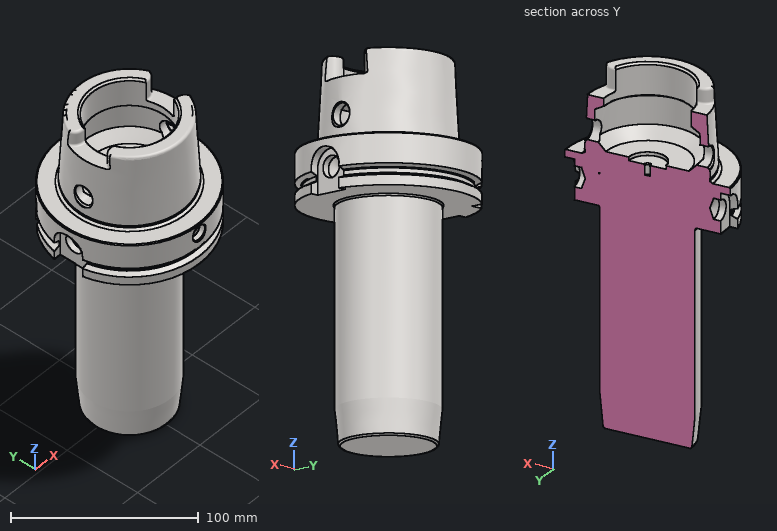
import cadquery as cq
import math

shank_height = 49.7
total_height = 210.0
bottom_z = shank_height - total_height

shank_top_radius = 35.5
shank_base_radius = 38.0
shank_taper_end_z = 2.7
shank_rim_fillet = 1.9
neck_radius = 37.5
neck_chamfer = 0.6
neck_flare_height = 1.0
neck_flare_radius = 39.5

flange_radius = 50.0
flange_height = 29.0
flange_edge_chamfer = 0.6
groove_center_z = -20.2
groove_floor_radius = 46.2
groove_floor_half_width = 1.7
groove_floor_fillet = 0.6
groove_mouth_half_width = 3.1

body_radius = 28.8
collar_width = 0.6
collar_height = 1.0
nose_length = 20.0
nose_end_radius = 26.9
nose_chamfer = 1.0

lip_radius = 26.2
lip_chamfer = 1.3
lip_bottom_z = 30.6
cavity_radius = 31.5
lip_angle = 60.0
cavity_floor_z = 4.2
cavity_floor_radius = 25.0
floor_recess_radius = 11.1
floor_recess_depth = 2.0
coolant_radius = 1.5
coolant_chamfer = 0.6
coolant_depth = 6.3

drive_slot_half_width = 9.9
drive_slot_corner_radius = 6.0
drive_slot_corner_x = 26.5
drive_slot_floor_fillet = 1.5
drive_slot_floor_left_z = 39.9
drive_slot_floor_right_z = 35.5

cross_hole_z = 15.0
cross_hole_radius = 6.0
cross_hole_chamfer = 1.0

keyway_radius = 10.0
keyway_center_z = -15.0
keyway_floor_x = 44.0
notch_floor_x = 31.7
notch_center_y = 41.4
keyway_hole_radius = 6.0
keyway_hole_depth = 4.2
keyway_hole_tip_angle = 20.0

chip_z = -7.0
chip_radius = 4.8
chip_chamfer = 0.6
chip_depth = 4.2
chip_center_hole_radius = 0.5
chip_center_hole_depth = 0.6

cutter_clearance = 2.0
selection_margin = 0.2


def turned_body():
    """Solid of revolution of the outside outline."""
    rim_fillet_mid = shank_rim_fillet * (1 - math.sqrt(0.5))
    nose_start_z = bottom_z + nose_length
    flange_bottom_z = -flange_height
    outline = (
        cq.Workplane("XZ")
        .moveTo(0, shank_height)
        .lineTo(shank_top_radius - shank_rim_fillet, shank_height)
        .threePointArc(
            (shank_top_radius - rim_fillet_mid, shank_height - rim_fillet_mid),
            (shank_top_radius, shank_height - shank_rim_fillet),
        )
        .lineTo(shank_base_radius, shank_taper_end_z)
        .lineTo(neck_radius, shank_taper_end_z - neck_chamfer)
        .lineTo(neck_radius, neck_flare_height)
        .lineTo(neck_flare_radius, 0)
        .lineTo(flange_radius - flange_edge_chamfer, 0)
        .lineTo(flange_radius, -flange_edge_chamfer)
        .lineTo(flange_radius, groove_center_z + groove_mouth_half_width)
        .lineTo(groove_floor_radius, groove_center_z + groove_floor_half_width)
        .lineTo(groove_floor_radius, groove_center_z - groove_floor_half_width)
        .lineTo(flange_radius, groove_center_z - groove_mouth_half_width)
        .lineTo(flange_radius, flange_bottom_z)
        .lineTo(body_radius + collar_width, flange_bottom_z)
        .lineTo(body_radius, flange_bottom_z - collar_height)
        .lineTo(body_radius, nose_start_z)
        .lineTo(nose_end_radius, bottom_z + nose_chamfer)
        .lineTo(nose_end_radius - nose_chamfer, bottom_z)
        .lineTo(0, bottom_z)
        .close()
    )
    turned = outline.revolve(360, (0, 0, 0), (0, 1, 0))
    pick_half_height = groove_mouth_half_width - selection_margin
    groove_edges = cq.selectors.BoxSelector(
        (-flange_radius, -flange_radius, groove_center_z - pick_half_height),
        (flange_radius, flange_radius, groove_center_z + pick_half_height),
    )
    return turned.edges(groove_edges).fillet(groove_floor_fillet)


def drive_slot(side, floor_z):
    """Slot cutter from the axis outward to side * X, with a floor fillet.

    It flares to round the wall ends, and a filleted plate above it rounds the rim edges.
    """
    half_width = drive_slot_half_width
    corner = drive_slot_corner_radius
    flare_half_width = half_width + corner
    corner_mid = corner * math.sqrt(0.5)
    corner_x = side * drive_slot_corner_x
    mid_x = side * (drive_slot_corner_x + corner_mid)
    flare_x = side * (drive_slot_corner_x + corner)
    outer_x = side * flange_radius
    cutter = (
        cq.Workplane("XY", origin=(0, 0, floor_z))
        .moveTo(0, -half_width)
        .lineTo(corner_x, -half_width)
        .threePointArc((mid_x, corner_mid - flare_half_width), (flare_x, -flare_half_width))
        .lineTo(outer_x, -flare_half_width)
        .lineTo(outer_x, flare_half_width)
        .lineTo(flare_x, flare_half_width)
        .threePointArc((mid_x, flare_half_width - corner_mid), (corner_x, half_width))
        .lineTo(0, half_width)
        .close()
        .extrude(shank_height - floor_z)
        .faces("<Z")
        .edges()
        .fillet(drive_slot_floor_fillet)
    )
    plate_half_width = flare_half_width + 2 * shank_rim_fillet
    plate = cq.Workplane("XY", origin=(outer_x / 2, 0, shank_height)).box(
        flange_radius, 2 * plate_half_width, shank_rim_fillet, centered=(True, True, False)
    )
    pick_half_width = flare_half_width + selection_margin
    rim_edges = cq.selectors.BoxSelector(
        (side * selection_margin, -pick_half_width, shank_height - selection_margin),
        (outer_x - side * selection_margin, pick_half_width, shank_height + selection_margin),
    )
    return cutter.union(plate).edges(rim_edges).fillet(shank_rim_fillet)


def cavity():
    """Clamping cavity with its lip, stepped floor and coolant hole."""
    shoulder_height = (cavity_radius - lip_radius) / math.tan(math.radians(lip_angle))
    floor_chamfer = cavity_radius - cavity_floor_radius
    recess_z = cavity_floor_z - floor_recess_depth
    outline = (
        cq.Workplane("XZ")
        .moveTo(0, shank_height)
        .lineTo(lip_radius + lip_chamfer, shank_height)
        .lineTo(lip_radius, shank_height - lip_chamfer)
        .lineTo(lip_radius, lip_bottom_z)
        .lineTo(cavity_radius, lip_bottom_z - shoulder_height)
        .lineTo(cavity_radius, cavity_floor_z + floor_chamfer)
        .lineTo(cavity_floor_radius, cavity_floor_z)
        .lineTo(floor_recess_radius, cavity_floor_z)
        .lineTo(floor_recess_radius, recess_z)
        .lineTo(coolant_radius + coolant_chamfer, recess_z)
        .lineTo(coolant_radius, recess_z - coolant_chamfer)
        .lineTo(coolant_radius, recess_z - coolant_depth)
        .lineTo(0, recess_z - coolant_depth)
        .close()
    )
    return outline.revolve(360, (0, 0, 0), (0, 1, 0))


def cross_hole():
    """Hole along X through both shank walls, countersunk on the outside."""
    taper = (shank_base_radius - shank_top_radius) / (shank_height - shank_taper_end_z)
    wall_radius = shank_base_radius - taper * (cross_hole_z - shank_taper_end_z)
    mouth_radius = cross_hole_radius + cross_hole_chamfer
    sink_x = wall_radius - cross_hole_chamfer
    return (
        cq.Workplane("XY", origin=(0, 0, cross_hole_z))
        .moveTo(-flange_radius, 0)
        .lineTo(-flange_radius, mouth_radius)
        .lineTo(-wall_radius, mouth_radius)
        .lineTo(-sink_x, cross_hole_radius)
        .lineTo(sink_x, cross_hole_radius)
        .lineTo(wall_radius, mouth_radius)
        .lineTo(flange_radius, mouth_radius)
        .lineTo(flange_radius, 0)
        .close()
        .revolve(360, (0, 0, 0), (1, 0, 0))
    )


def keyway(center_y, floor_x):
    """Cutter for a round-topped keyway on the -X side, open at the flange's lower face."""
    depth = flange_radius + cutter_clearance - floor_x
    drop = flange_height + keyway_center_z
    plane = cq.Workplane("YZ", origin=(-floor_x, center_y, keyway_center_z))
    round_top = plane.circle(keyway_radius).extrude(-depth)
    straight = plane.center(0, -drop / 2).rect(2 * keyway_radius, drop).extrude(-depth)
    return round_top.union(straight)


def keyway_hole():
    """Blind hole with a conical tip in the floor of the -X keyway."""
    tip_depth = keyway_hole_radius * math.tan(math.radians(keyway_hole_tip_angle))
    bottom_x = -keyway_floor_x + keyway_hole_depth
    return (
        cq.Workplane("XY", origin=(0, 0, keyway_center_z))
        .moveTo(-flange_radius, 0)
        .lineTo(-flange_radius, keyway_hole_radius)
        .lineTo(bottom_x, keyway_hole_radius)
        .lineTo(bottom_x + tip_depth, 0)
        .close()
        .revolve(360, (0, 0, 0), (1, 0, 0))
    )


def chip_pocket():
    """Chamfered round pocket on the -Y side with a small centre hole."""
    floor_y = -flange_radius + chip_depth
    mouth_radius = chip_radius + chip_chamfer
    return (
        cq.Workplane("XY", origin=(0, 0, chip_z))
        .moveTo(0, -flange_radius)
        .lineTo(mouth_radius, -flange_radius)
        .lineTo(chip_radius, -flange_radius + chip_chamfer)
        .lineTo(chip_radius, floor_y)
        .lineTo(chip_center_hole_radius, floor_y)
        .lineTo(chip_center_hole_radius, floor_y + chip_center_hole_depth)
        .lineTo(0, floor_y + chip_center_hole_depth)
        .close()
        .revolve(360, (0, 0, 0), (0, 1, 0))
    )


holder = turned_body()
holder = holder.cut(drive_slot(-1, drive_slot_floor_left_z))
holder = holder.cut(drive_slot(1, drive_slot_floor_right_z))
holder = holder.cut(cavity()).cut(cross_hole())

drive_keyway = keyway(0, keyway_floor_x)
keyway_drilling = keyway_hole()
holder = holder.cut(drive_keyway).cut(drive_keyway.mirror("YZ"))
holder = holder.cut(keyway_drilling).cut(keyway_drilling.mirror("YZ"))
holder = holder.cut(keyway(notch_center_y, notch_floor_x))

result = holder.cut(chip_pocket()).solids()